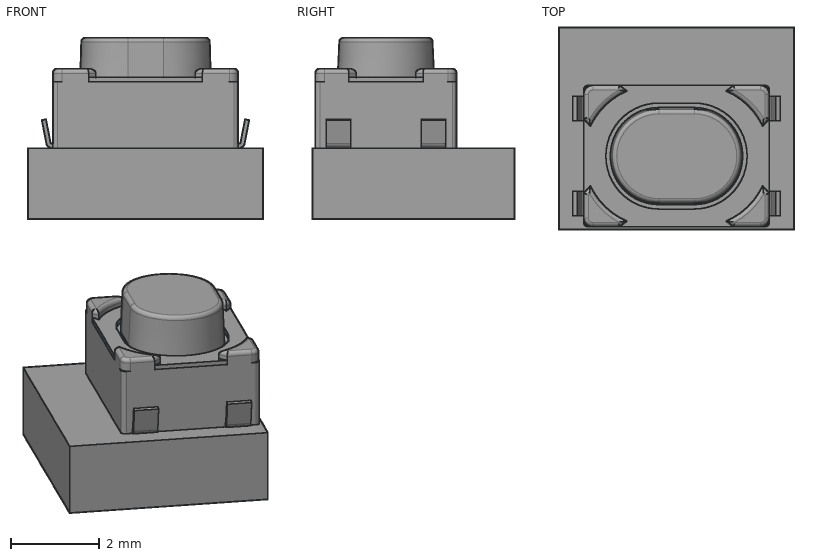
import cadquery as cq
import math

BASE_LENGTH = 5.33
BASE_WIDTH = 4.58
BASE_THICKNESS = 1.61
BASE_CENTER_Y = 0.625

HOUSING_LENGTH = 4.2
HOUSING_WIDTH = 3.2
BODY_HEIGHT = 1.5
BODY_CORNER_RADIUS = 0.1

COVER_THICKNESS = 0.1
COVER_TOP = BODY_HEIGHT + COVER_THICKNESS
PAD_CORNER_RADIUS = 0.2
PAD_RISE = 0.2
PAD_TOP = COVER_TOP + PAD_RISE
PAD_EDGE_RADIUS = 0.1
PAD_ARC_RADIUS = HOUSING_WIDTH / 2
PAD_ARC_CENTER_X = HOUSING_LENGTH / 2 - PAD_ARC_RADIUS
PAD_SHORT_WALL_TIP_ANGLE = 25
PAD_LONG_WALL_TIP_ANGLE = 67
PAD_CUT_RUN = 0.165

BUTTON_STRAIGHT = 0.8
BUTTON_FOOT_RADIUS = 1.1
BUTTON_TOP_RADIUS = 1.055
BUTTON_HEIGHT = 1.0
BUTTON_EDGE_RADIUS = 0.1
BUTTON_CLEARANCE = 0.1

LEAD_THICKNESS = 0.1
LEAD_WIDTH = 0.56
LEAD_SPACING = 2.15
LEAD_TIP_X = 2.35
LEAD_TIP_Z = 0.635
LEAD_LEAN = 11
LEAD_INNER_RADIUS = 0.03
LEAD_OUTER_RADIUS = LEAD_INNER_RADIUS + LEAD_THICKNESS


def obround(plane_z, radius):
    """Outline an obround with its long axis on X at the given height."""
    return (
        cq.Workplane("XY")
        .workplane(offset=plane_z)
        .slot2D(BUTTON_STRAIGHT + 2 * radius, 2 * radius)
    )


def rounded_block(bottom_z, height, corner_radius):
    """Block with the switch outline and rounded vertical corners."""
    return (
        cq.Workplane("XY")
        .workplane(offset=bottom_z)
        .rect(HOUSING_LENGTH, HOUSING_WIDTH)
        .extrude(height)
        .edges("|Z")
        .fillet(corner_radius)
    )


def make_pad():
    """Raised pad in the +X +Y corner: two wall edges, two cut-off ends and a hollow arc."""
    half_length = HOUSING_LENGTH / 2
    half_width = HOUSING_WIDTH / 2

    def arc_point(degrees):
        angle = math.radians(degrees)
        return (
            PAD_ARC_CENTER_X + PAD_ARC_RADIUS * math.cos(angle),
            PAD_ARC_RADIUS * math.sin(angle),
        )

    short_wall_tip = arc_point(PAD_SHORT_WALL_TIP_ANGLE)
    long_wall_tip = arc_point(PAD_LONG_WALL_TIP_ANGLE)
    short_wall_end = (half_length, short_wall_tip[1] + PAD_CUT_RUN)
    long_wall_end = (long_wall_tip[0] + PAD_CUT_RUN, half_width)
    pad = (
        cq.Workplane("XY")
        .workplane(offset=BODY_HEIGHT)
        .moveTo(*short_wall_end)
        .lineTo(half_length, half_width)
        .lineTo(*long_wall_end)
        .lineTo(*long_wall_tip)
        .threePointArc(arc_point(45), short_wall_tip)
        .close()
        .extrude(PAD_TOP - BODY_HEIGHT)
    )
    corner = cq.selectors.NearestToPointSelector((half_length, half_width, COVER_TOP))
    pad = pad.edges("|Z").edges(corner).fillet(PAD_CORNER_RADIUS)
    return pad.faces(">Z").edges().fillet(PAD_EDGE_RADIUS)


def make_lead():
    """Terminal on the +X side, centred on Y = 0: a flat foot bent up and leaning outward."""
    lean = math.radians(LEAD_LEAN)
    outer_bend_x = LEAD_TIP_X - LEAD_TIP_Z * math.tan(lean)
    inner_tip_x = LEAD_TIP_X - LEAD_THICKNESS * math.cos(lean)
    inner_tip_z = LEAD_TIP_Z + LEAD_THICKNESS * math.sin(lean)
    inner_bend_x = inner_tip_x - (inner_tip_z - LEAD_THICKNESS) * math.tan(lean)
    root_x = HOUSING_LENGTH / 2 - LEAD_THICKNESS
    lead = (
        cq.Workplane("XZ")
        .moveTo(root_x, 0)
        .lineTo(outer_bend_x, 0)
        .lineTo(LEAD_TIP_X, LEAD_TIP_Z)
        .lineTo(inner_tip_x, inner_tip_z)
        .lineTo(inner_bend_x, LEAD_THICKNESS)
        .lineTo(root_x, LEAD_THICKNESS)
        .close()
        .extrude(LEAD_WIDTH / 2, both=True)
    )
    outer_bend = cq.selectors.NearestToPointSelector((outer_bend_x, 0, 0))
    inner_bend = cq.selectors.NearestToPointSelector((inner_bend_x, 0, LEAD_THICKNESS))
    lead = lead.edges("|Y").edges(outer_bend).fillet(LEAD_OUTER_RADIUS)
    return lead.edges("|Y").edges(inner_bend).fillet(LEAD_INNER_RADIUS)


def make_pads():
    """The four corner pads, mirrored from one."""
    pad = make_pad()
    pad_pair = pad.union(pad.mirror("YZ"))
    return pad_pair.union(pad_pair.mirror("XZ"))


def make_housing():
    """Base plate, switch block, corner pads and terminals in one piece."""
    plate = (
        cq.Workplane("XY")
        .center(0, BASE_CENTER_Y)
        .rect(BASE_LENGTH, BASE_WIDTH)
        .extrude(-BASE_THICKNESS)
    )
    block = rounded_block(0, BODY_HEIGHT, BODY_CORNER_RADIUS)
    housing = plate.union(block).union(make_pads())

    lead = make_lead()
    for lead_y in (-LEAD_SPACING / 2, LEAD_SPACING / 2):
        right_lead = lead.translate((0, lead_y, 0))
        housing = housing.union(right_lead).union(right_lead.mirror("YZ"))
    return housing


def make_cover():
    """Thin plate lying on the block between the pads, with an opening around the button."""
    sheet = rounded_block(BODY_HEIGHT, COVER_THICKNESS, PAD_CORNER_RADIUS)
    opening = obround(BODY_HEIGHT, BUTTON_FOOT_RADIUS + BUTTON_CLEARANCE).extrude(COVER_THICKNESS)
    return sheet.cut(opening).cut(make_pads())


def make_button():
    """Button standing on the block inside the cover opening."""
    taper = math.degrees(math.atan2(BUTTON_FOOT_RADIUS - BUTTON_TOP_RADIUS, BUTTON_HEIGHT))
    button = obround(BODY_HEIGHT, BUTTON_FOOT_RADIUS).extrude(BUTTON_HEIGHT, taper=taper)
    return button.faces(">Z").edges().fillet(BUTTON_EDGE_RADIUS)


housing = make_housing()
cover = make_cover()
button = make_button()

result = cq.Compound.makeCompound([housing.val(), cover.val(), button.val()])